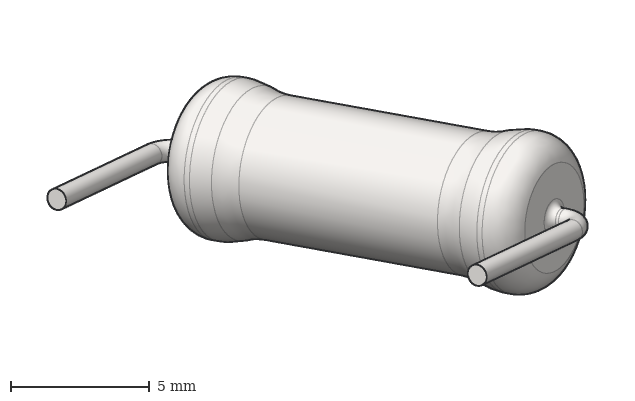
import cadquery as cq
import math

overall_length = 18.58
lead_reach = 7.5
body_half_length = 7.5
bulge_radius = 3.0
barrel_radius = 5.3 / 2
end_face_radius = 2.03
shoulder_length = 1.2
band_width = 0.22
crown_length = 0.84
flare_length = 1.04
lead_radius = 0.8 / 2
bend_radius = 0.97
meniscus_radius = 0.3

shoulder_rise = bulge_radius - end_face_radius
shoulder_radius = (shoulder_length**2 + shoulder_rise**2) / (2 * shoulder_rise)
shoulder_angle = math.asin(shoulder_length / shoulder_radius)

neck_drop = bulge_radius - barrel_radius
neck_angle = 2 * math.atan(neck_drop / (crown_length + flare_length))
crown_radius = crown_length / math.sin(neck_angle)
flare_radius = flare_length / math.sin(neck_angle)

band_outer = body_half_length - shoulder_length
band_inner = band_outer - band_width
neck_middle = band_inner - crown_length
barrel_end = neck_middle - flare_length
lead_x = overall_length / 2 - lead_radius
bend_start = lead_x - bend_radius


def arc_point(x_tangent, r_tangent, radius, angle):
    """Point on an arc at an angle from its axis-parallel tangent; a negative radius is concave."""
    return (
        x_tangent + radius * math.sin(angle),
        r_tangent - radius * (1 - math.cos(angle)),
    )


def make_barrel():
    """Straight cylinder between the two bulged ends."""
    return cq.Workplane("YZ", origin=(-barrel_end, 0, 0)).circle(barrel_radius).extrude(2 * barrel_end)


def make_bulged_end():
    """Neck, band and rounded shoulder of the +X end."""
    profile = (
        cq.Workplane("XY")
        .moveTo(barrel_end, 0)
        .lineTo(barrel_end, barrel_radius)
        .threePointArc(
            arc_point(barrel_end, barrel_radius, -flare_radius, -neck_angle / 2),
            arc_point(barrel_end, barrel_radius, -flare_radius, -neck_angle),
        )
        .threePointArc(
            arc_point(band_inner, bulge_radius, crown_radius, -neck_angle / 2),
            (band_inner, bulge_radius),
        )
        .lineTo(band_outer, bulge_radius)
        .threePointArc(
            arc_point(band_outer, bulge_radius, shoulder_radius, shoulder_angle / 2),
            (body_half_length, end_face_radius),
        )
        .lineTo(body_half_length, 0)
        .close()
    )
    return profile.revolve(360, (0, 0, 0), (1, 0, 0))


def make_meniscus():
    """Concave collar that blends the lead into the end face."""
    collar_end = body_half_length + meniscus_radius
    collar_radius = lead_radius + meniscus_radius
    arc_offset = meniscus_radius * math.sqrt(0.5)
    profile = (
        cq.Workplane("XY")
        .moveTo(barrel_end, 0)
        .lineTo(barrel_end, collar_radius)
        .lineTo(body_half_length, collar_radius)
        .threePointArc(
            (collar_end - arc_offset, collar_radius - arc_offset),
            (collar_end, lead_radius),
        )
        .lineTo(collar_end, 0)
        .close()
    )
    return profile.revolve(360, (0, 0, 0), (1, 0, 0))


def make_lead():
    """Round wire leaving the end face and bent a quarter turn toward -Y."""
    bend_offset = bend_radius * math.sqrt(0.5)
    path = (
        cq.Workplane("XY")
        .moveTo(barrel_end, 0)
        .lineTo(bend_start, 0)
        .threePointArc(
            (bend_start + bend_offset, bend_offset - bend_radius),
            (lead_x, -bend_radius),
        )
        .lineTo(lead_x, -lead_reach)
    )
    return cq.Workplane("YZ", origin=(barrel_end, 0, 0)).circle(lead_radius).sweep(path)


end = make_bulged_end().union(make_meniscus()).union(make_lead())
result = make_barrel().union(end).union(end.mirror("YZ"))